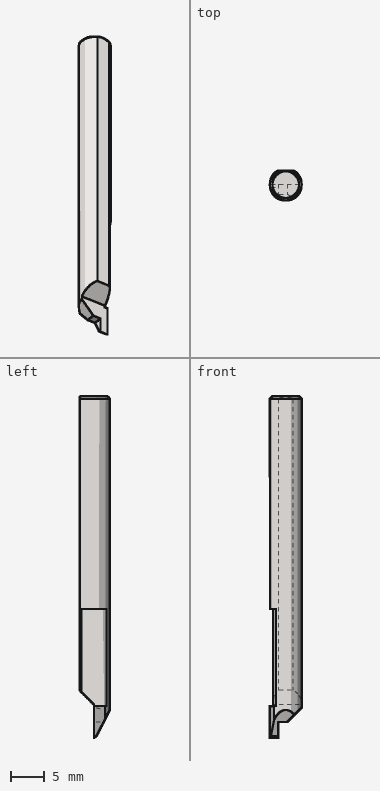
import cadquery as cq
import math

shank_diameter = 4.76
shank_radius = shank_diameter / 2
total_length = 50.8
end_chamfer = 0.4
width_across_flat = 4.51
flat_y = width_across_flat - shank_radius

relief_depth = 0.47
relief_half_width = 1.87
relief_bottom_z = 4.7
relief_top_z = 19.15

rake_top_z = 4.95
rake_slope = math.radians(45)

tooth_right_x = -1.09
shoulder_z = 2.35
shoulder_right_x = 0.25
shoulder_slope = math.radians(45)

land_width = 0.4
land_height = 0.26
end_clearance = math.radians(27)
side_clearance = math.radians(22)

margin = 1.0
reach = shank_radius + margin


def make_shank():
    bar = cq.Workplane("XY").circle(shank_radius).extrude(total_length)
    bar = bar.faces(">Z").chamfer(end_chamfer)
    flat_cut = cq.Workplane("XY").box(
        2 * reach, reach, total_length + margin, centered=(True, False, False)
    ).translate((0, flat_y, 0))
    return bar.cut(flat_cut)


def make_relief():
    """Gently arched pocket floor that runs out into the round bar on both sides."""
    edge_x = -math.sqrt(shank_radius**2 - relief_half_width**2)
    return (
        cq.Workplane("XY", origin=(0, 0, relief_bottom_z))
        .moveTo(edge_x, -relief_half_width)
        .threePointArc((relief_depth - shank_radius, 0), (edge_x, relief_half_width))
        .lineTo(-reach, relief_half_width)
        .lineTo(-reach, -relief_half_width)
        .close()
        .extrude(relief_top_z - relief_bottom_z)
    )


def prism_along_x(points):
    """Prism through the full width of the bar from (y, z) points."""
    return cq.Workplane("YZ").polyline(points).close().extrude(reach, both=True)


def make_rake_cut():
    outer_z = rake_top_z + reach * math.tan(rake_slope)
    return prism_along_x([(0, -margin), (0, rake_top_z), (reach, outer_z), (reach, -margin)])


def make_end_clearance():
    outer_z = land_height + (reach - land_width) / math.tan(end_clearance)
    return prism_along_x(
        [(0, 0), (-land_width, land_height), (-reach, outer_z), (-reach, -margin), (0, -margin)]
    )


def make_shoulder_cut():
    outer_z = shoulder_z + (reach - shoulder_right_x) * math.tan(shoulder_slope)
    points = [
        (tooth_right_x, -margin),
        (tooth_right_x, shoulder_z),
        (shoulder_right_x, shoulder_z),
        (reach, outer_z),
        (reach, -margin),
    ]
    return cq.Workplane("XZ").polyline(points).close().extrude(reach, both=True)


def make_side_clearance():
    inner_x = reach * math.tan(side_clearance) - shank_radius
    points = [(-shank_radius, 0), (inner_x, -reach), (-reach, -reach), (-reach, 0)]
    return cq.Workplane("XY").polyline(points).close().extrude(relief_bottom_z)


result = (
    make_shank()
    .cut(make_relief())
    .cut(make_rake_cut())
    .cut(make_end_clearance())
    .cut(make_shoulder_cut())
    .cut(make_side_clearance())
)